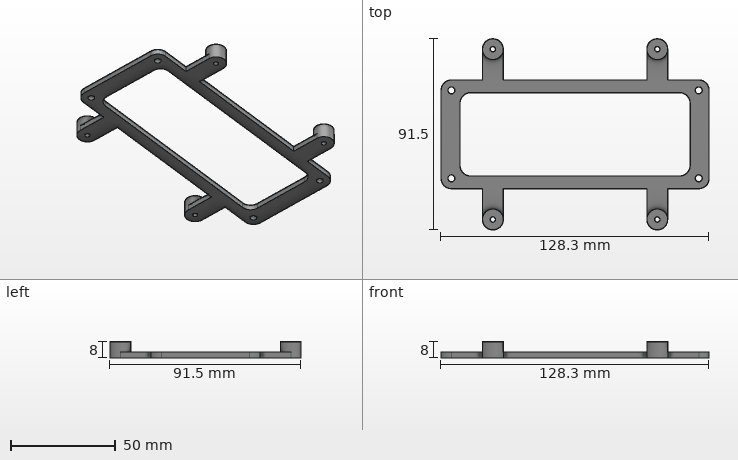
import cadquery as cq

frame_length = 128.3
frame_width = 52.1
plate_thickness = 3.0
frame_corner_radius = 5.0

window_length = 110.0
window_width = 39.8
window_corner_radius = 5.0

corner_hole_diameter = 3.2
corner_hole_pitch_x = 118.3
corner_hole_pitch_y = 42.1

overall_width = 91.5
overall_height = 8.0
boss_diameter = 10.0
boss_hole_diameter = 2.5
boss_pitch_x = 78.6
boss_pitch_y = overall_width - boss_diameter


def rounded_plate(length, width, radius):
    """Plate centred in X and Y, resting on Z = 0, with rounded vertical corners."""
    plate = cq.Workplane("XY").rect(length, width).extrude(plate_thickness)
    return plate.edges("|Z").fillet(radius)


def cylinders(pitch_x, pitch_y, diameter, height):
    """Four upright cylinders at the corners of a centred rectangle."""
    corners = cq.Workplane("XY").rect(pitch_x, pitch_y, forConstruction=True).vertices()
    return corners.circle(diameter / 2).extrude(height)


frame = rounded_plate(frame_length, frame_width, frame_corner_radius)
window = rounded_plate(window_length, window_width, window_corner_radius)

arm_start = (frame_width + window_width) / 4
arm_end = boss_pitch_y / 2
arm_centres = [
    (side_x * boss_pitch_x / 2, side_y * (arm_start + arm_end) / 2)
    for side_x in (-1, 1)
    for side_y in (-1, 1)
]
arms = (
    cq.Workplane("XY")
    .pushPoints(arm_centres)
    .rect(boss_diameter, arm_end - arm_start)
    .extrude(plate_thickness)
)

bosses = cylinders(boss_pitch_x, boss_pitch_y, boss_diameter, overall_height)
boss_holes = cylinders(boss_pitch_x, boss_pitch_y, boss_hole_diameter, overall_height)
corner_holes = cylinders(
    corner_hole_pitch_x, corner_hole_pitch_y, corner_hole_diameter, plate_thickness
)

result = frame.cut(window).union(arms).union(bosses).cut(boss_holes).cut(corner_holes)